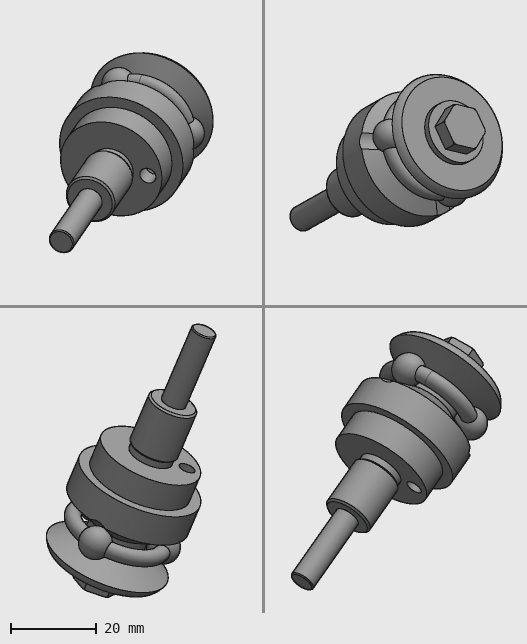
import cadquery as cq
import math


HEAD_END = 14.7
FLANGE_BACK = 10.8
CONE_BACK = 9.1
CONE_RIM = 7.0
CONE_TIP = 2.3
SEAT_RIM = -6.2
SHOULDER = -14.15
BOSS_END = -21.15
NECK_END = -22.85
SPIGOT_END = -36.0
BOLT_END = -56.0

BODY_RADIUS = 30.5 / 2
CONE_RIM_RADIUS = 15.2
CONE_BACK_RADIUS = 13.85
RIM_BULGE = 0.15
BOSS_RADIUS = 12.5
NECK_RADIUS = 5.45
SPIGOT_RADIUS = 6.0
SPIGOT_CHAMFER = 0.5
BOLT_RADIUS = 3.05
BOLT_CHAMFER = 0.3
FLANGE_RADIUS = 7.6
HEX_ACROSS_FLATS = 10.05
HEX_CHAMFER = 0.3

RING_RADIUS = 11.3
TUBE_RADIUS = 2.0
BALL_RADIUS = 3.95
BALL_COUNT = 3

HUB_RADIUS = RING_RADIUS - BALL_RADIUS

SLOPE = (CONE_RIM - CONE_TIP) / (CONE_RIM_RADIUS - HUB_RADIUS)
SLOPE_ANGLE = math.degrees(math.atan(SLOPE))
SEAT_TIP = SEAT_RIM + SLOPE * (BODY_RADIUS - HUB_RADIUS)

HOLE_OFFSET = 9.05
HOLE_RADIUS = 2.0
HOLE_DEPTH = 4.25
DRILL_POINT_ANGLE = 118.0


def revolve_about_y(points):
    """Revolve a closed (radius, y) outline about the Y axis."""
    return cq.Workplane("XY").polyline(points).close().revolve(360, (0, 0, 0), (0, 1, 0))


def rod_along_y(radius, start, end):
    """Cylinder on the Y axis from start to end, with start above end."""
    return cq.Workplane("XZ", origin=(0, start, 0)).circle(radius).extrude(start - end)


def turned_about_y(shape, index):
    """Turn a shape to the angular position of one of the balls."""
    return shape.rotate((0, 0, 0), (0, 1, 0), index * 360 / BALL_COUNT)


def make_ball_groove():
    """Round groove cutter parallel to the seat slope, with its axis through a ball centre."""
    length = 2 * BODY_RADIUS
    angle = math.radians(SLOPE_ANGLE)
    outward = cq.Vector(math.cos(angle), -math.sin(angle), 0)
    start = cq.Vector(RING_RADIUS, 0, 0)
    groove = cq.Solid.makeCylinder(BALL_RADIUS, length, start, outward)
    inner_length = (RING_RADIUS - HUB_RADIUS) / math.cos(angle)
    inner = cq.Solid.makeCylinder(BALL_RADIUS, inner_length, start, outward * -1)
    return cq.Workplane(groove.fuse(inner))


def make_drilled_hole():
    """Blind hole with a conical drill point."""
    point_depth = HOLE_RADIUS / math.tan(math.radians(DRILL_POINT_ANGLE / 2))
    bottom = BOSS_END + HOLE_DEPTH
    outline = [(0, BOSS_END), (HOLE_RADIUS, BOSS_END), (HOLE_RADIUS, bottom), (0, bottom + point_depth)]
    return revolve_about_y(outline).translate((HOLE_OFFSET, 0, 0))


def make_housing():
    """Body with a conical seat, a boss and a chamfered spigot, bored for the bolt."""
    housing = revolve_about_y([
        (BOLT_RADIUS, SEAT_TIP),
        (HUB_RADIUS, SEAT_TIP),
        (BODY_RADIUS, SEAT_RIM),
        (BODY_RADIUS, SHOULDER),
        (BOSS_RADIUS, SHOULDER),
        (BOSS_RADIUS, BOSS_END),
        (NECK_RADIUS, BOSS_END),
        (NECK_RADIUS, NECK_END),
        (SPIGOT_RADIUS - SPIGOT_CHAMFER, NECK_END),
        (SPIGOT_RADIUS, NECK_END - SPIGOT_CHAMFER),
        (SPIGOT_RADIUS, SPIGOT_END + SPIGOT_CHAMFER),
        (SPIGOT_RADIUS - SPIGOT_CHAMFER, SPIGOT_END),
        (BOLT_RADIUS, SPIGOT_END),
    ])
    groove = make_ball_groove()
    for index in range(BALL_COUNT):
        housing = housing.cut(turned_about_y(groove, index))
    return housing.cut(make_drilled_hole())


def make_cone():
    """Clamping cone with a rounded rim and a hub that rests on the housing."""
    outline = (
        cq.Workplane("XY")
        .moveTo(BOLT_RADIUS, CONE_BACK)
        .lineTo(CONE_BACK_RADIUS, CONE_BACK)
        .sagittaArc((CONE_RIM_RADIUS, CONE_RIM), RIM_BULGE)
        .lineTo(HUB_RADIUS, CONE_TIP)
        .lineTo(HUB_RADIUS, SEAT_TIP)
        .lineTo(BOLT_RADIUS, SEAT_TIP)
        .close()
    )
    return outline.revolve(360, (0, 0, 0), (0, 1, 0))


def make_ball_ring():
    """Round-section ring carrying evenly spaced balls."""
    ring = cq.Workplane(cq.Solid.makeTorus(RING_RADIUS, TUBE_RADIUS, cq.Vector(), cq.Vector(0, 1, 0)))
    ball = cq.Workplane("XY").sphere(BALL_RADIUS).translate((RING_RADIUS, 0, 0))
    for index in range(BALL_COUNT):
        ring = ring.union(turned_about_y(ball, index))
    return ring


def make_bolt():
    """Flanged hexagon bolt that passes through the cone and the housing."""
    corner_radius = HEX_ACROSS_FLATS / math.sqrt(3)
    head_length = HEAD_END - FLANGE_BACK
    head = cq.Workplane("XZ", origin=(0, HEAD_END, 0)).polygon(6, 2 * corner_radius).extrude(head_length)
    head_limit = rod_along_y(corner_radius, HEAD_END, FLANGE_BACK).faces(">Y").chamfer(HEX_CHAMFER)
    flange = rod_along_y(FLANGE_RADIUS, FLANGE_BACK, CONE_BACK)
    shank = rod_along_y(BOLT_RADIUS, CONE_BACK, BOLT_END).faces("<Y").chamfer(BOLT_CHAMFER)
    return head.intersect(head_limit).union(flange).union(shank)


housing = make_housing().solids()
cone = make_cone()
ball_ring = make_ball_ring().solids()
bolt = make_bolt().solids()

result = cq.Compound.makeCompound([housing.val(), cone.val(), ball_ring.val(), bolt.val()])